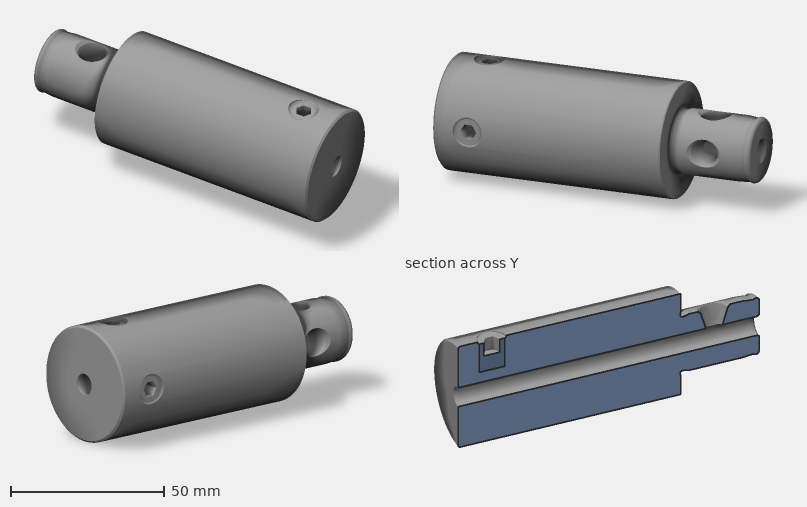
import cadquery as cq
import math

total_length = 108.0
barrel_radius = 19.49
shoulder_x = 28.1
front_chamfer = 0.3
rear_chamfer = 0.6

shank_radius = 10.96
nose_fillet = 1.4
nose_groove_end_x = 2.3
nose_groove_radius = 10.6
nose_taper_end_x = 5.8

undercut_start_x = 25.4
undercut_bottom_x = 26.7
undercut_radius = 10.5
undercut_fillet = 0.8
undercut_face_depth = 0.2
undercut_face_radius = 12.6

bore_radius = 3.6
bore_chamfer = 0.6

cross_hole_x = 16.2
cross_hole_axis_radius = 1.8
cross_hole_rim_height = 9.88
cross_hole_rim_radius = 4.8
countersink_depth = 2.2

screw_x = 95.8
screw_radius = 4.5
screw_top_height = 18.6
screw_length = 10.8
screw_hole_mouth_radius = 5.1
hex_across_flats = 4.9
hex_depth = 5.0

radial_angles = (0, -90)


def aim(shape, angle):
    """Turn a feature built along +Z to its place around the X axis."""
    return shape.rotate((0, 0, 0), (1, 0, 0), angle)


def frustum(x, low, low_radius, high, high_radius):
    """Cone along +Z at the given X, between two heights above the axis."""
    cone = cq.Solid.makeCone(low_radius, high_radius, high - low, cq.Vector(x, 0, low))
    return cq.Workplane(obj=cone)


def make_turned_body():
    diagonal = math.sqrt(0.5)
    nose_mid_x = nose_fillet * (1 - diagonal)
    nose_mid_radius = shank_radius - nose_fillet * (1 - diagonal)
    undercut_floor_x = shoulder_x + undercut_face_depth
    fillet_start_x = undercut_floor_x - undercut_fillet
    fillet_end_radius = undercut_radius + undercut_fillet
    fillet_mid_x = fillet_start_x + undercut_fillet * diagonal
    fillet_mid_radius = fillet_end_radius - undercut_fillet * diagonal
    return (
        cq.Workplane("XY")
        .moveTo(0, 0)
        .lineTo(0, shank_radius - nose_fillet)
        .threePointArc((nose_mid_x, nose_mid_radius), (nose_fillet, shank_radius))
        .lineTo(nose_groove_end_x, nose_groove_radius)
        .lineTo(nose_taper_end_x, shank_radius)
        .lineTo(undercut_start_x, shank_radius)
        .lineTo(undercut_bottom_x, undercut_radius)
        .lineTo(fillet_start_x, undercut_radius)
        .threePointArc((fillet_mid_x, fillet_mid_radius), (undercut_floor_x, fillet_end_radius))
        .lineTo(shoulder_x, undercut_face_radius)
        .lineTo(shoulder_x, barrel_radius - front_chamfer)
        .lineTo(shoulder_x + front_chamfer, barrel_radius)
        .lineTo(total_length - rear_chamfer, barrel_radius)
        .lineTo(total_length, barrel_radius - rear_chamfer)
        .lineTo(total_length, 0)
        .close()
        .revolve(360, (0, 0, 0), (1, 0, 0))
    )


def make_bore():
    bore = cq.Workplane("YZ").circle(bore_radius).extrude(total_length)
    mouth = cq.Solid.makeCone(
        bore_radius + bore_chamfer, bore_radius, bore_chamfer, cq.Vector(0, 0, 0), cq.Vector(1, 0, 0)
    )
    return bore.union(cq.Workplane(obj=mouth))


def make_cross_hole():
    """Tapered hole from the bore outward, with a 45 degree countersink at its rim."""
    taper = frustum(cross_hole_x, 0, cross_hole_axis_radius, cross_hole_rim_height, cross_hole_rim_radius)
    sink = frustum(
        cross_hole_x,
        cross_hole_rim_height,
        cross_hole_rim_radius,
        cross_hole_rim_height + countersink_depth,
        cross_hole_rim_radius + countersink_depth,
    )
    return taper.union(sink)


def make_screw_blank():
    bottom = screw_top_height - screw_length
    return cq.Workplane("XY", origin=(screw_x, 0, bottom)).circle(screw_radius).extrude(screw_length)


def make_screw_hole():
    """Blind hole that fits the screw, flared above it to the barrel surface."""
    mouth_height = math.sqrt(barrel_radius**2 - screw_hole_mouth_radius**2)
    flare = frustum(screw_x, screw_top_height, screw_radius, mouth_height, screw_hole_mouth_radius)
    mouth = (
        cq.Workplane("XY", origin=(screw_x, 0, mouth_height))
        .circle(screw_hole_mouth_radius)
        .extrude(barrel_radius - mouth_height)
    )
    return make_screw_blank().union(flare).union(mouth)


def make_set_screw():
    hex_across_corners = hex_across_flats / math.cos(math.pi / 6)
    socket = (
        cq.Workplane("XY", origin=(screw_x, 0, screw_top_height))
        .polygon(6, hex_across_corners)
        .extrude(-hex_depth)
    )
    return make_screw_blank().cut(socket)


def make_holder():
    holder = make_turned_body().cut(make_bore())
    for angle in radial_angles:
        holder = holder.cut(aim(make_cross_hole(), angle))
        holder = holder.cut(aim(make_screw_hole(), angle))
    return holder


holder = make_holder()
set_screws = []
for angle in radial_angles:
    set_screws.append(aim(make_set_screw(), angle).solids().val())

result = cq.Compound.makeCompound([holder.solids().val(), *set_screws])